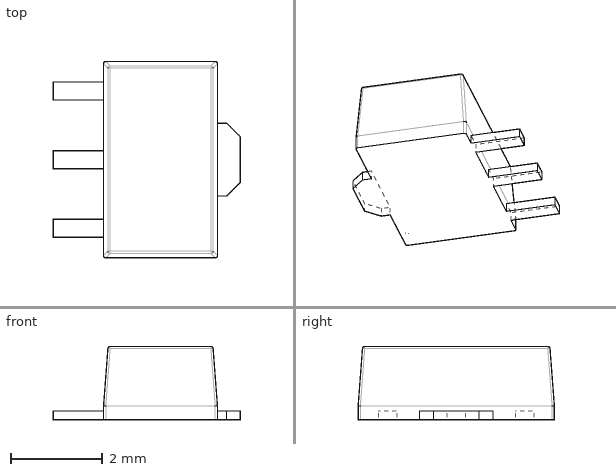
import cadquery as cq

body_length = 4.3
body_width = 2.5
total_height = 1.61
band_height = 0.3
top_inset = 0.1
edge_radius = 0.05

metal_thickness = 0.198
lead_length = 1.1
lead_width = 0.4
lead_pitch = 1.5
lead_count = 3
tab_length = 0.5
tab_width = 1.6
tab_chamfer = 0.3
embed_depth = 0.215

body_side = body_width / 2


def make_body():
    band = (
        cq.Workplane("XY")
        .rect(body_width, body_length)
        .extrude(band_height)
        .edges("|Z")
        .fillet(edge_radius)
    )

    upper_height = total_height - band_height
    upper = (
        cq.Workplane("XY", origin=(0, 0, band_height))
        .rect(body_width, body_length)
        .workplane(offset=upper_height)
        .rect(body_width - 2 * top_inset, body_length - 2 * top_inset)
        .loft(ruled=True)
        .edges(">Z or (not #Z)")
        .fillet(edge_radius)
    )
    return band.union(upper)


def make_lead(center_y):
    length = lead_length + embed_depth
    return (
        cq.Workplane("XY", origin=(-body_side - lead_length, center_y - lead_width / 2, 0))
        .box(length, lead_width, metal_thickness, centered=False)
    )


def make_tab():
    length = tab_length + embed_depth
    return (
        cq.Workplane("XY", origin=(body_side - embed_depth, -tab_width / 2, 0))
        .box(length, tab_width, metal_thickness, centered=False)
        .edges("|Z and >X")
        .chamfer(tab_chamfer)
    )


result = make_body().union(make_tab())
for index in range(lead_count):
    lead_y = (index - (lead_count - 1) / 2) * lead_pitch
    result = result.union(make_lead(lead_y))